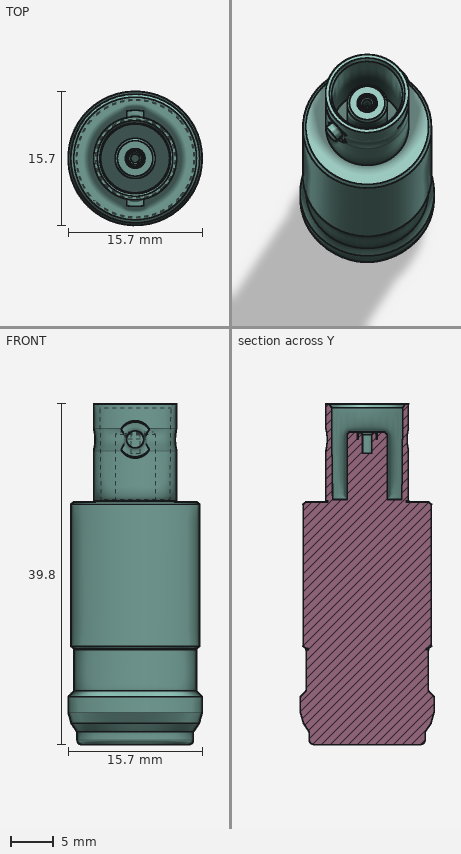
import cadquery as cq
height = 39.8
base_round = 0.6
base_top = 1.5
collar_waist = 2.5
collar_bottom = 3.8
collar_top = 5.6
sleeve_bottom = 11.22
sleeve_top = 28.38
sleeve_chamfer_height = 0.28
relief_height = 0.1
groove_center = 35.65
groove_half_height = 1.3

base_radius = 6.8
collar_waist_radius = 7.5
collar_radius = 7.85
body_radius = 7.15
sleeve_radius = 7.52
neck_radius = 4.85
relief_depth = 0.25
groove_radius = 4.7

mouth_radius = 4.4
mouth_chamfer_depth = 0.45
bore_radius = 4.15
bore_floor_radius = 4.0
bore_floor = 28.65
insulator_radius = 2.35
insulator_chamfer = 0.28
insulator_top = 36.55
contact_recess_radius = 1.15
contact_recess_depth = 0.8
contact_radius = 1.07
contact_edge_chamfer = 0.1
contact_hole_radius = 0.5
contact_hole_depth = 2.4
contact_hole_chamfer = 0.25
contact_top = 36.45

pin_radius = 1.0
pin_tip_radius = 5.6
seat_y = 4.55
seat_floor_radius = 2.03
seat_mouth_radius = 2.2


def make_shell():
    """Revolved outer body, solid inside, with a concave groove around the neck."""
    collar_step = collar_radius - body_radius
    profile = (
        cq.Workplane("XZ")
        .lineTo(base_radius, 0)
        .lineTo(base_radius, base_top)
        .lineTo(collar_waist_radius, collar_waist)
        .lineTo(collar_radius, collar_bottom)
        .lineTo(collar_radius, collar_top)
        .lineTo(body_radius, collar_top + collar_step)
        .lineTo(body_radius, sleeve_bottom - relief_height)
        .lineTo(body_radius - relief_depth, sleeve_bottom - relief_height)
        .lineTo(body_radius - relief_depth, sleeve_bottom)
        .lineTo(body_radius, sleeve_bottom)
        .lineTo(sleeve_radius, sleeve_bottom + sleeve_chamfer_height)
        .lineTo(sleeve_radius, sleeve_top - sleeve_chamfer_height)
        .lineTo(body_radius, sleeve_top)
        .lineTo(neck_radius - relief_depth, sleeve_top)
        .lineTo(neck_radius - relief_depth, sleeve_top + relief_height)
        .lineTo(neck_radius, sleeve_top + relief_height)
        .lineTo(neck_radius, groove_center - groove_half_height)
        .threePointArc((groove_radius, groove_center), (neck_radius, groove_center + groove_half_height))
        .lineTo(neck_radius, height)
        .lineTo(0, height)
        .close()
    )
    shell = profile.revolve(360, (0, 0, 0), (0, 1, 0))
    return shell.faces("<Z").edges().fillet(base_round)


def make_socket():
    """Tapered bore with a chamfered mouth."""
    profile = (
        cq.Workplane("XZ")
        .moveTo(0, bore_floor)
        .lineTo(bore_floor_radius, bore_floor)
        .lineTo(bore_radius, height - mouth_chamfer_depth)
        .lineTo(mouth_radius, height)
        .lineTo(0, height)
        .close()
    )
    return profile.revolve(360, (0, 0, 0), (0, 1, 0))


def make_insulator():
    """Insulator post with the hollow contact recessed in its top."""
    recess_floor = insulator_top - contact_recess_depth
    profile = (
        cq.Workplane("XZ")
        .moveTo(0, bore_floor)
        .lineTo(insulator_radius, bore_floor)
        .lineTo(insulator_radius, insulator_top - insulator_chamfer)
        .lineTo(insulator_radius - insulator_chamfer, insulator_top)
        .lineTo(contact_recess_radius, insulator_top)
        .lineTo(contact_recess_radius, recess_floor)
        .lineTo(contact_radius, recess_floor)
        .lineTo(contact_radius, contact_top - contact_edge_chamfer)
        .lineTo(contact_radius - contact_edge_chamfer, contact_top)
        .lineTo(contact_hole_radius + contact_hole_chamfer, contact_top)
        .lineTo(contact_hole_radius, contact_top - contact_hole_chamfer)
        .lineTo(contact_hole_radius, contact_top - contact_hole_depth)
        .lineTo(0, contact_top - contact_hole_depth)
        .close()
    )
    return profile.revolve(360, (0, 0, 0), (0, 1, 0))


def make_pin(side):
    """Bayonet pin with its tip rounded about the Z axis; side is -1 or +1 along Y."""
    pin = (
        cq.Workplane("XZ", origin=(0, side * seat_y, groove_center))
        .circle(pin_radius)
        .extrude(-side * (pin_tip_radius - seat_y))
    )
    tip_limit = cq.Workplane("XY").circle(pin_tip_radius).extrude(height)
    return pin.intersect(tip_limit)


def make_seat_cut(side):
    """Conical pocket with a flat floor around a pin."""
    depth = neck_radius - seat_y
    return (
        cq.Workplane("XZ", origin=(0, side * seat_y, groove_center))
        .circle(seat_floor_radius)
        .workplane(offset=-side * depth)
        .circle(seat_mouth_radius)
        .loft()
    )


body = make_shell()
for pin_side in (-1, 1):
    body = body.cut(make_seat_cut(pin_side)).union(make_pin(pin_side))
result = body.cut(make_socket()).union(make_insulator())